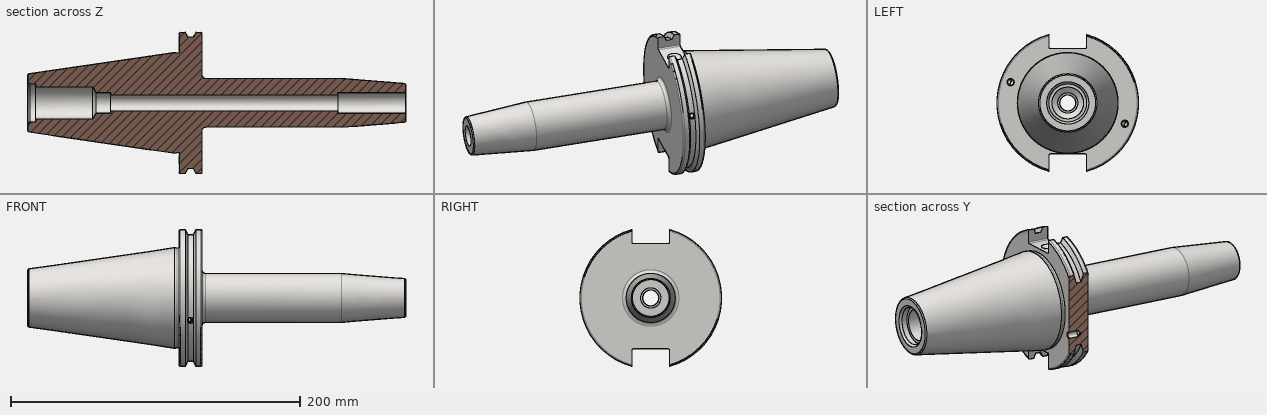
import cadquery as cq
import math


GAUGE_DIAMETER = 69.85
TAPER_LENGTH = 101.6
TAPER_RATIO = 7 / 24
TAPER_END_CHAMFER = 0.8
SMALL_END_DIAMETER = GAUGE_DIAMETER - TAPER_LENGTH * TAPER_RATIO

NECK_DIAMETER = 69.25
NECK_START = 1.6

FLANGE_DIAMETER = 98.1
FLANGE_FRONT = 3.18
FLANGE_BACK = 19.05
FLANGE_CENTER = (FLANGE_FRONT + FLANGE_BACK) / 2
RIM_FILLET = 1.0
GROOVE_FLOOR_DIAMETER = 91.4
GROOVE_FLOOR_WIDTH = 3.8
GROOVE_MOUTH_WIDTH = 7.3

SLOT_WIDTH = 25.78
UPPER_SLOT_FLOOR = 37.7
LOWER_SLOT_FLOOR = 35.3
SLOT_FLOOR_FILLET = 0.8

DIMPLE_DIAMETER = 9.53
DRILL_POINT_ANGLE = 118.0

PORT_CIRCLE_DIAMETER = 84.0
PORT_ANGLE = 20.0
PORT_COUNT = 2
PORT_MOUTH_DIAMETER = 5.0
PORT_DIAMETER = 4.2
PORT_OUTLET_DIAMETER = 4.13
PORT_OUTLET_DEPTH = 1.0
PORT_CROSS_HOLE_DIAMETER = 3.24

TOTAL_LENGTH = 261.6
NOSE_END = TOTAL_LENGTH - TAPER_LENGTH
NOSE_ROOT_FILLET = 2.5
NOSE_DIAMETER = 34.0
TIP_DIAMETER = 27.0
TIP_HALF_ANGLE = 4.5
TIP_CHAMFER = 0.8
TIP_TAPER_START = NOSE_END - (NOSE_DIAMETER - TIP_DIAMETER) / 2 / math.tan(math.radians(TIP_HALF_ANGLE))

MOUTH_DIAMETER = 29.2
COUNTERBORE_DIAMETER = 26.2
COUNTERBORE_DEPTH = 5.5
RETENTION_BORE_DIAMETER = 21.97
RETENTION_BORE_DEPTH = 45.0
RELIEF_DIAMETER = 14.0
RELIEF_LENGTH = 10.0
STOP_SCREW_DIAMETER = 10.92
TOOL_BORE_DIAMETER = 14.0
TOOL_BORE_DEPTH = 47.0

EDGE_TOLERANCE = 0.001


def point_length(diameter):
    """Height of a drill point that tapers from the given diameter to zero."""
    return diameter / 2 / math.tan(math.radians(DRILL_POINT_ANGLE / 2))


def revolve_about_x(stations):
    """Turn (position, diameter) stations, the last with zero diameter, into a solid about X."""
    outline = [(x, diameter / 2) for x, diameter in stations]
    first_x = stations[0][0]
    profile = cq.Workplane("XY").polyline([(first_x, 0), *outline]).close()
    return profile.revolve(360, (0, 0, 0), (1, 0, 0))


def fillet_circle(body, x, diameter, fillet_radius):
    """Fillet the circular edge of the given diameter that lies in the plane at x."""
    circles = body.edges("%CIRCLE")
    in_plane = circles.filter(lambda edge: abs(edge.Center().x - x) < EDGE_TOLERANCE)
    matching = in_plane.filter(lambda edge: abs(2 * edge.radius() - diameter) < EDGE_TOLERANCE)
    return matching.fillet(fillet_radius)


def make_body():
    small_end = -TAPER_LENGTH
    taper_at_chamfer = SMALL_END_DIAMETER + TAPER_END_CHAMFER * TAPER_RATIO
    floor_half = GROOVE_FLOOR_WIDTH / 2
    mouth_half = GROOVE_MOUTH_WIDTH / 2
    body = revolve_about_x([
        (small_end, SMALL_END_DIAMETER - 2 * TAPER_END_CHAMFER),
        (small_end + TAPER_END_CHAMFER, taper_at_chamfer),
        (0, GAUGE_DIAMETER),
        (NECK_START, NECK_DIAMETER),
        (FLANGE_FRONT, NECK_DIAMETER),
        (FLANGE_FRONT, FLANGE_DIAMETER),
        (FLANGE_CENTER - mouth_half, FLANGE_DIAMETER),
        (FLANGE_CENTER - floor_half, GROOVE_FLOOR_DIAMETER),
        (FLANGE_CENTER + floor_half, GROOVE_FLOOR_DIAMETER),
        (FLANGE_CENTER + mouth_half, FLANGE_DIAMETER),
        (FLANGE_BACK, FLANGE_DIAMETER),
        (FLANGE_BACK, NOSE_DIAMETER),
        (TIP_TAPER_START, NOSE_DIAMETER),
        (NOSE_END - TIP_CHAMFER, TIP_DIAMETER),
        (NOSE_END, TIP_DIAMETER - 2 * TIP_CHAMFER),
        (NOSE_END, 0),
    ])
    body = fillet_circle(body, FLANGE_FRONT, FLANGE_DIAMETER, RIM_FILLET)
    body = fillet_circle(body, FLANGE_BACK, FLANGE_DIAMETER, RIM_FILLET)
    return fillet_circle(body, FLANGE_BACK, NOSE_DIAMETER, NOSE_ROOT_FILLET)


def make_bore():
    mouth_chamfer = (MOUTH_DIAMETER - COUNTERBORE_DIAMETER) / 2
    entry = -TAPER_LENGTH
    bore_end = entry + RETENTION_BORE_DEPTH
    relief_start = bore_end + point_length(RETENTION_BORE_DIAMETER) - point_length(RELIEF_DIAMETER)
    relief_end = relief_start + RELIEF_LENGTH
    return revolve_about_x([
        (entry, MOUTH_DIAMETER),
        (entry + mouth_chamfer, COUNTERBORE_DIAMETER),
        (entry + COUNTERBORE_DEPTH, COUNTERBORE_DIAMETER),
        (entry + COUNTERBORE_DEPTH, RETENTION_BORE_DIAMETER),
        (bore_end, RETENTION_BORE_DIAMETER),
        (relief_start, RELIEF_DIAMETER),
        (relief_end, RELIEF_DIAMETER),
        (relief_end, STOP_SCREW_DIAMETER),
        (NOSE_END - TOOL_BORE_DEPTH, STOP_SCREW_DIAMETER),
        (NOSE_END - TOOL_BORE_DEPTH, TOOL_BORE_DIAMETER),
        (NOSE_END, TOOL_BORE_DIAMETER),
        (NOSE_END, 0),
    ])


def make_drive_slot(floor_height, side):
    """Slot across the flange; side is +1 for the top and -1 for the bottom."""
    height = FLANGE_DIAMETER / 2 - floor_height
    slot = cq.Workplane("XY").box(FLANGE_BACK - FLANGE_FRONT, SLOT_WIDTH, height)
    floor_edges = "<Z and |X" if side > 0 else ">Z and |X"
    slot = slot.edges(floor_edges).fillet(SLOT_FLOOR_FILLET)
    return slot.translate((FLANGE_CENTER, 0, side * (floor_height + height / 2)))


def make_dimple():
    radius = DIMPLE_DIAMETER / 2
    point_height = UPPER_SLOT_FLOOR - point_length(DIMPLE_DIAMETER)
    outline = [(0, UPPER_SLOT_FLOOR), (radius, UPPER_SLOT_FLOOR), (0, point_height)]
    cone = cq.Workplane("XZ").polyline(outline).close().revolve(360, (0, 0, 0), (0, 1, 0))
    return cone.translate((FLANGE_CENTER, 0, 0))


def make_radial_hole(diameter, inner_radius):
    """Cylinder along Y at mid-flange, from the flange rim in to the given distance from the axis."""
    rim_plane = cq.Workplane("XZ", origin=(FLANGE_CENTER, FLANGE_DIAMETER / 2, 0))
    return rim_plane.circle(diameter / 2).extrude(FLANGE_DIAMETER / 2 - inner_radius)


def make_coolant_port(angle):
    """Axial hole from the flange face that turns outward into the groove floor."""
    mouth_chamfer = (PORT_MOUTH_DIAMETER - PORT_DIAMETER) / 2
    axial_end = FLANGE_CENTER
    axial = revolve_about_x([
        (FLANGE_FRONT, PORT_MOUTH_DIAMETER),
        (FLANGE_FRONT + mouth_chamfer, PORT_DIAMETER),
        (axial_end, PORT_DIAMETER),
        (axial_end + point_length(PORT_DIAMETER), 0),
    ]).translate((0, PORT_CIRCLE_DIAMETER / 2, 0))
    outlet_floor = GROOVE_FLOOR_DIAMETER / 2 - PORT_OUTLET_DEPTH
    outlet = make_radial_hole(PORT_OUTLET_DIAMETER, outlet_floor)
    cross_hole = make_radial_hole(PORT_CROSS_HOLE_DIAMETER, PORT_CIRCLE_DIAMETER / 2)
    return axial.union(outlet).union(cross_hole).rotate((0, 0, 0), (1, 0, 0), angle)


result = make_body().cut(make_bore())
result = result.cut(make_drive_slot(UPPER_SLOT_FLOOR, 1))
result = result.cut(make_drive_slot(LOWER_SLOT_FLOOR, -1))
result = result.cut(make_dimple())
for index in range(PORT_COUNT):
    result = result.cut(make_coolant_port(PORT_ANGLE + index * 360 / PORT_COUNT))